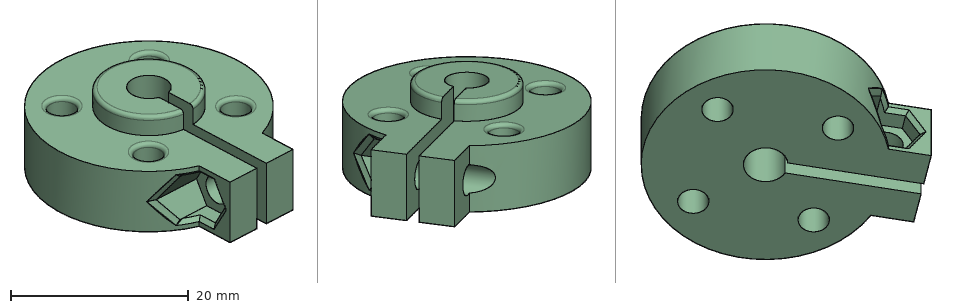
import cadquery as cq
import math

disc_diameter = 28.0
disc_radius = disc_diameter / 2
disc_height = 8
hub_diameter = 12.67
hub_height = 2.53
bore_diameter = 5.0
edge_radius = 0.5

hole_diameter = 3.52
hole_spacing = 13.82

overall_length = 32
arm_end = overall_length - disc_radius
arms_width = 10.0
arm_face_y = -arms_width / 2
slot_width = 1.5

screw_x = 13.5
screw_z = disc_height / 2
nut_flats = 5.7
nut_depth = 2.4
pocket_floor_y = arm_face_y + nut_depth
mouth_chamfer = 0.5
tip_chamfer = 0.45
sloped_chamfer_depth = 0.6


def hexagon_diameter(across_flats):
    """Across-corners size of a regular hexagon."""
    return across_flats / math.cos(math.radians(30))


def screw_plane(y):
    """Plane at the given Y, centred on the screw axis, with its normal along +Y."""
    return cq.Workplane(cq.Plane((screw_x, y, screw_z), xDir=(1, 0, 0), normal=(0, 1, 0)))


def make_body():
    disc = cq.Workplane("XY").circle(disc_radius).extrude(disc_height)
    arms = cq.Workplane("XY").box(arm_end, arms_width, disc_height, centered=(False, True, False))
    hub = (
        cq.Workplane("XY")
        .circle(hub_diameter / 2)
        .extrude(disc_height + hub_height)
        .faces(">Z")
        .edges()
        .fillet(edge_radius)
    )
    return disc.union(arms).union(hub)


def drill_mounting_holes(body):
    """Through holes whose upper mouths flare out with a rounded edge."""
    drilled = (
        body.faces("<Z")
        .workplane(origin=(0, 0, 0))
        .rect(hole_spacing, hole_spacing, forConstruction=True)
        .vertices()
        .hole(hole_diameter)
    )
    half = hole_spacing / 2
    for x in (-half, half):
        for y in (-half, half):
            mouth = cq.NearestToPointSelector((x, y, disc_height))
            drilled = drilled.edges("%CIRCLE").edges(mouth).fillet(edge_radius)
    return drilled


def make_bore_and_slot():
    cut_height = disc_height + hub_height
    bore = cq.Workplane("XY").circle(bore_diameter / 2).extrude(cut_height)
    slot = cq.Workplane("XY").box(arm_end, slot_width, cut_height, centered=(False, True, False))
    return bore.union(slot)


tip_x = screw_x - hexagon_diameter(nut_flats) / 2
flat_x = screw_x - hexagon_diameter(nut_flats) / 4


def rim_y(x):
    """Y of the disc rim at the given X, on the -Y side."""
    return -math.sqrt(disc_radius**2 - x**2)


def triangle(tip_x, base_x, half_base, y_shift):
    """Upright triangle over a chord of the rim, moved along Y."""
    tip_y = rim_y(tip_x) + y_shift
    base_y = rim_y(base_x) + y_shift
    return cq.Wire.makePolygon(
        [
            cq.Vector(tip_x, tip_y, screw_z),
            cq.Vector(base_x, base_y, screw_z + half_base),
            cq.Vector(base_x, base_y, screw_z - half_base),
        ],
        close=True,
    )


def make_sloped_rim_chamfer():
    """Chamfer of the two sloped pocket walls that open through the disc rim."""
    mouth = triangle(tip_x - tip_chamfer, flat_x, nut_flats / 2 + mouth_chamfer, 0)
    throat = triangle(tip_x, flat_x, nut_flats / 2, sloped_chamfer_depth)
    taper = cq.Solid.makeLoft([mouth, throat], True)
    outward = cq.Solid.extrudeLinear(mouth, [], cq.Vector(0, -mouth_chamfer, 0))
    return cq.Workplane(taper).union(cq.Workplane(outward))


def make_flat_rim_chamfer():
    """Conical chamfers of the upper and lower pocket walls around the disc rim."""
    half_flats = nut_flats / 2
    inner_radius = disc_radius - mouth_chamfer
    ring = (
        cq.Workplane("XZ")
        .polyline([
            (inner_radius, screw_z + half_flats),
            (disc_radius, screw_z + half_flats + mouth_chamfer),
            (disc_radius, screw_z - half_flats - mouth_chamfer),
            (inner_radius, screw_z - half_flats),
        ])
        .close()
        .revolve(360, (0, 0, 0), (0, 1, 0))
    )
    beside_flat = (
        cq.Workplane("XY", origin=(flat_x, -disc_radius, 0))
        .box(arm_end, disc_radius, disc_height, centered=False)
    )
    return ring.intersect(beside_flat)


def make_arm_chamfer():
    """Tapered hexagon that widens the pocket to its mouth in the arm face."""
    return (
        screw_plane(arm_face_y)
        .polygon(6, hexagon_diameter(nut_flats + 2 * mouth_chamfer))
        .workplane(offset=mouth_chamfer)
        .polygon(6, hexagon_diameter(nut_flats))
        .loft(ruled=True)
    )


def make_nut_pocket():
    """Hexagonal pocket whose rim and arm chamfers meet in a mitre at the inner corner."""
    pocket = (
        screw_plane(-disc_radius)
        .polygon(6, hexagon_diameter(nut_flats))
        .extrude(disc_radius + pocket_floor_y)
    )
    inner_y = arm_face_y + mouth_chamfer
    corner_x = math.sqrt(disc_radius**2 - arm_face_y**2)
    mitre_x = math.sqrt((disc_radius - mouth_chamfer) ** 2 - inner_y**2)
    rim_side = (
        cq.Workplane("XY")
        .polyline([(0, -disc_radius), (corner_x, -disc_radius), (corner_x, arm_face_y),
                   (mitre_x, inner_y), (0, inner_y)])
        .close()
        .extrude(disc_height)
    )
    rim_chamfer = make_flat_rim_chamfer().union(make_sloped_rim_chamfer()).intersect(rim_side)
    arm_chamfer = make_arm_chamfer().cut(rim_side)
    return pocket.union(rim_chamfer).union(arm_chamfer)


def make_screw_hole():
    return screw_plane(-disc_radius).circle(hole_diameter / 2).extrude(disc_diameter)


result = (
    drill_mounting_holes(make_body())
    .cut(make_bore_and_slot())
    .cut(make_nut_pocket())
    .cut(make_screw_hole())
)